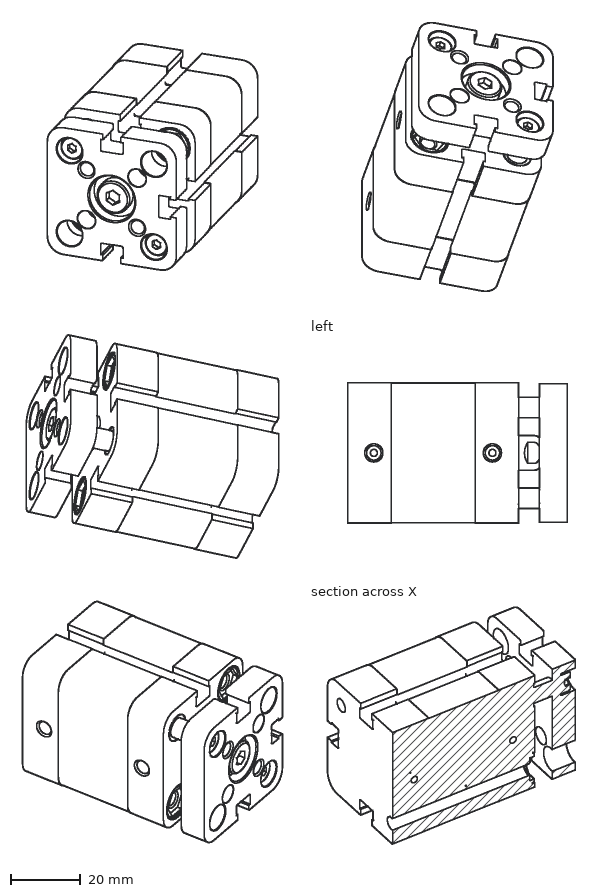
import cadquery as cq
import math

total_length = 63.0
plate_length = 8.0
gap_length = 6.0
cap_length = 12.5
body_front = plate_length + gap_length
tube_front = body_front + cap_length
tube_length = total_length - body_front - 2 * cap_length
rear_cap_front = total_length - cap_length

cap_width = 40.3
cap_corner_radius = 4.85
tube_width = 40.2
tube_corner_radius = 5.0
plate_width = 39.8
plate_corner_radius = 5.0

slot_inner_width = 6.9
slot_lip_level = 18.1
slot_floor = 14.4
cap_slot_floor = 14.7
plain_mouth_width = 5.9
rounded_mouth_width = 5.5
mouth_edge_radius = 0.45
slot_floor_radius = 0.5

corner_pitch = 26.0
corner_offset = corner_pitch / 2
inner_offset = 7.8

piston_diameter = 10.0
piston_flat_width = 8.0
piston_flat_length = 3.3
piston_end_radius = 2.0
piston_end_inset = 0.5
guide_diameter = 6.0
guide_recess_diameter = 8.2
guide_recess_depth = 0.3

plate_bore_diameter = 7.8
plate_bore_chamfer = 0.2
guide_screw_diameter = 7.0
guide_screw_recess = 1.75
guide_screw_chamfer = 0.4
guide_screw_seat = 5.05
guide_socket_flats = 2.5
guide_socket_depth = 1.5

center_bore_diameter = 14.0
center_bore_chamfer = 0.4
center_screw_recess = 0.8
center_screw_diameter = 10.0
center_screw_chamfer = 0.5
center_bore_depth = 4.0
center_socket_flats = 4.0
center_socket_depth = 2.0

thread_hole_diameter = 4.15
thread_chamfer_diameter = 5.2
thread_chamfer = (thread_chamfer_diameter - thread_hole_diameter) / 2
clearance_hole_diameter = 5.5
clearance_hole_chamfer = 0.095

mount_recess_diameter = 11.1
mount_recess_depth = 0.8
mount_head_diameter = 10.9
mount_head_chamfer = 0.45
mount_head_inset = 0.2
mount_socket_flats = 8.0
mount_socket_depth = 1.4
mount_hole_diameter = 4.15
mount_hole_chamfer = 0.5

port_distance = 7.5
port_depth = 5.05
port_channel_diameter = 2.0
port_channel_depth = 8.8

rod_corners = [(-corner_offset, corner_offset), (corner_offset, -corner_offset)]
mount_corners = [(corner_offset, corner_offset), (-corner_offset, -corner_offset)]
thread_spots = [(-inner_offset, inner_offset), (inner_offset, -inner_offset)]
clearance_spots = [(inner_offset, inner_offset), (-inner_offset, -inner_offset)]


def section(y):
    """Workplane in X and Z at the given y; extrusion runs toward +Y."""
    return cq.Workplane(cq.Plane(origin=(0, y, 0), xDir=(1, 0, 0), normal=(0, -1, 0)))


def cylinder(spot, diameter, y, length):
    return section(y).center(*spot).circle(diameter / 2).extrude(-length)


def cone(spot, front_diameter, rear_diameter, y, length):
    """Cone frustum along Y; the rear diameter may be zero."""
    profile = [(0, 0), (front_diameter / 2, 0), (rear_diameter / 2, length), (0, length)]
    if rear_diameter == 0:
        profile.pop()
    solid = cq.Workplane("XY").polyline(profile).close().revolve(360, (0, 0, 0), (0, 1, 0))
    return solid.translate((spot[0], y, spot[1]))


def chamfered_hole(spot, diameter, chamfer, y, length):
    mouth = cone(spot, diameter + 2 * chamfer, diameter, y, chamfer)
    return cylinder(spot, diameter, y, length).union(mouth)


def hexagon(spot, flats, y, length, turn=0):
    corner_diameter = flats / math.cos(math.pi / 6)
    prism = section(y).polygon(6, corner_diameter).extrude(-length)
    return prism.rotate((0, 0, 0), (0, 1, 0), turn).translate((spot[0], 0, spot[1]))


def drilled_socket(spot, flats, y, depth):
    """Hexagon socket with corners at top and bottom and a conical floor."""
    corner_diameter = flats / math.cos(math.pi / 6)
    tip = corner_diameter / 4
    drill = cylinder(spot, corner_diameter, y, depth)
    drill = drill.union(cone(spot, corner_diameter, 0, y + depth, tip))
    return hexagon(spot, flats, y, depth + tip, 30).intersect(drill)


def screw_head(spot, diameter, chamfer, y, seat_y):
    bevel = cone(spot, diameter - 2 * chamfer, diameter, y, chamfer)
    return cylinder(spot, diameter, y + chamfer, seat_y - y - chamfer).union(bevel)


def t_slot(level, floor, mouth_width, mouth_radius, y, length):
    """Cutter for a T-slot open toward +Z in a face at the given level."""
    mouth = mouth_width / 2
    slot = section(y).center(0, (floor + slot_lip_level) / 2)
    slot = slot.rect(slot_inner_width, slot_lip_level - floor).extrude(-length)
    slot = slot.edges("|Y and <Z").fillet(slot_floor_radius)
    opening = section(y).center(0, (floor + level) / 2).rect(mouth_width, level - floor).extrude(-length)
    if mouth_radius == 0:
        return slot.union(opening)
    arc_drop = mouth_radius * (1 - math.sqrt(0.5))
    flare = section(y).moveTo(-mouth - mouth_radius, level)
    flare = flare.threePointArc((-mouth - arc_drop, level - arc_drop), (-mouth, level - mouth_radius))
    flare = flare.lineTo(mouth, level - mouth_radius)
    flare = flare.threePointArc((mouth + arc_drop, level - arc_drop), (mouth + mouth_radius, level))
    return slot.union(opening).union(flare.close().extrude(-length))


def slotted_block(width, corner_radius, side_floor, mouth_width, mouth_radius, y, length):
    """Rounded square block with T-slots on its +Z, -Z and +X sides."""
    block = section(y).rect(width, width).extrude(-length).edges("|Y").fillet(corner_radius)
    for turn, floor in ((0, side_floor), (180, side_floor), (90, slot_floor)):
        slot = t_slot(width / 2, floor, mouth_width, mouth_radius, y, length)
        block = block.cut(slot.rotate((0, 0, 0), (0, 1, 0), turn))
    return block


def make_body():
    """Tube between two end caps, with mounting sockets and air ports."""
    body = slotted_block(
        tube_width, tube_corner_radius, slot_floor,
        rounded_mouth_width, mouth_edge_radius, tube_front, tube_length,
    )
    for y in (body_front, rear_cap_front):
        cap = slotted_block(
            cap_width, cap_corner_radius, cap_slot_floor, plain_mouth_width, 0, y, cap_length
        )
        body = body.union(cap)

    head_front = body_front + mount_head_inset
    socket_floor = head_front + mount_socket_depth
    recess_floor = body_front + mount_recess_depth
    for spot in mount_corners:
        body = body.cut(cylinder(spot, mount_recess_diameter, body_front, mount_recess_depth))
        body = body.union(
            screw_head(spot, mount_head_diameter, mount_head_chamfer, head_front, recess_floor)
        )
        body = body.cut(hexagon(spot, mount_socket_flats, head_front, mount_socket_depth))
        body = body.cut(
            chamfered_hole(
                spot, mount_hole_diameter, mount_hole_chamfer, socket_floor, total_length - socket_floor
            )
        )
    for spot in rod_corners:
        body = body.cut(cylinder(spot, guide_recess_diameter, body_front, guide_recess_depth))

    port = chamfered_hole((0, 0), thread_hole_diameter, thread_chamfer, 0, port_depth)
    port = port.union(cylinder((0, 0), port_channel_diameter, 0, port_channel_depth))
    port = port.rotate((0, 0, 0), (0, 0, 1), -90)
    for y in (body_front + port_distance, total_length - port_distance):
        body = body.cut(port.translate((-cap_width / 2, y, 0)))
    return body


def make_plate():
    """Front plate with the bores for its screws and the tapped and clear holes."""
    plate = slotted_block(
        plate_width, plate_corner_radius, slot_floor,
        rounded_mouth_width, mouth_edge_radius, 0, plate_length,
    )
    for spot in rod_corners:
        plate = plate.cut(chamfered_hole(spot, plate_bore_diameter, plate_bore_chamfer, 0, guide_screw_seat))
    for spot in mount_corners:
        plate = plate.cut(chamfered_hole(spot, plate_bore_diameter, plate_bore_chamfer, 0, plate_length))
    for spot in thread_spots:
        plate = plate.cut(chamfered_hole(spot, thread_hole_diameter, thread_chamfer, 0, plate_length))
    for spot in clearance_spots:
        plate = plate.cut(
            chamfered_hole(spot, clearance_hole_diameter, clearance_hole_chamfer, 0, plate_length)
        )
    return plate.cut(
        chamfered_hole((0, 0), center_bore_diameter, center_bore_chamfer, 0, center_bore_depth)
    )


def make_piston_rod():
    """Rod with a rounded end and two wrench flats that run out at 45 degrees."""
    rod_front = plate_length - piston_end_inset
    rod = cylinder((0, 0), piston_diameter, rod_front, body_front - rod_front)
    rod = rod.faces("<Y").edges().fillet(piston_end_radius)
    flat_end = plate_length + piston_flat_length
    flat_depth = (piston_diameter - piston_flat_width) / 2
    for side in (-1, 1):
        inside = side * piston_flat_width / 2
        outside = side * piston_diameter / 2
        flat = cq.Workplane("XY").polyline([
            (inside, plate_length),
            (inside, flat_end),
            (outside, flat_end + flat_depth),
            (outside, plate_length),
        ])
        rod = rod.cut(flat.close().extrude(piston_diameter / 2, both=True))
    return rod


result = make_body().union(make_plate()).union(make_piston_rod())

guide_length = gap_length + guide_recess_depth
for corner in rod_corners:
    result = result.union(cylinder(corner, guide_diameter, plate_length, guide_length))

for corner in rod_corners:
    result = result.union(
        screw_head(corner, guide_screw_diameter, guide_screw_chamfer, guide_screw_recess, guide_screw_seat)
    )
    result = result.cut(drilled_socket(corner, guide_socket_flats, guide_screw_recess, guide_socket_depth))
result = result.union(
    screw_head((0, 0), center_screw_diameter, center_screw_chamfer, center_screw_recess, center_bore_depth)
)
result = result.cut(drilled_socket((0, 0), center_socket_flats, center_screw_recess, center_socket_depth))